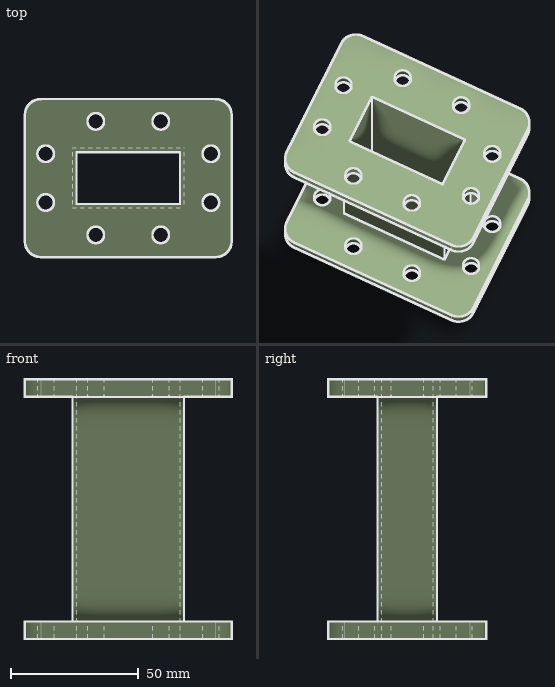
import cadquery as cq

overall_length = 101.6

bore_width = 40.39
bore_height = 20.19
wall = 1.63
tube_width = bore_width + 2 * wall
tube_height = bore_height + 2 * wall

flange_width = 81.0
flange_depth = 61.9
flange_thickness = 6.9
flange_corner_radius = 6.35

hole_diameter = 6.4
long_edge_hole_spacing = 25.4
long_edge_row_distance = 44.4
short_edge_hole_spacing = 19.05
short_edge_row_distance = 64.6


def make_flange(base_z):
    """Rounded plate with eight bolt holes, its lower face at base_z."""
    plate = (
        cq.Workplane("XY")
        .workplane(offset=base_z)
        .rect(flange_width, flange_depth)
        .extrude(flange_thickness)
        .edges("|Z")
        .fillet(flange_corner_radius)
    )
    hole_patterns = (
        (long_edge_hole_spacing, long_edge_row_distance),
        (short_edge_row_distance, short_edge_hole_spacing),
    )
    for span_x, span_y in hole_patterns:
        plate = (
            plate.faces(">Z")
            .workplane(origin=(0, 0, 0))
            .rect(span_x, span_y, forConstruction=True)
            .vertices()
            .hole(hole_diameter)
        )
    return plate


def make_bore():
    """Rectangular passage running the full length of the part."""
    return cq.Workplane("XY").rect(bore_width, bore_height).extrude(overall_length)


tube = cq.Workplane("XY").rect(tube_width, tube_height).extrude(overall_length)
bottom_flange = make_flange(0)
top_flange = make_flange(overall_length - flange_thickness)

result = tube.union(bottom_flange).union(top_flange).cut(make_bore())